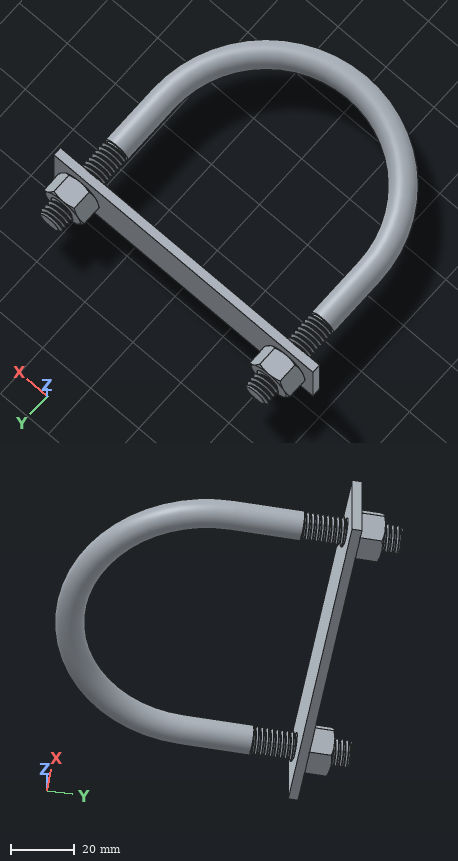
import cadquery as cq
import math

INCH = 25.4

rod_diameter = 3 / 8 * INCH
rod_radius = rod_diameter / 2
inside_bend_diameter = 3 * INCH
leg_spacing = inside_bend_diameter + rod_diameter
bend_radius = leg_spacing / 2
overall_length = 4 * INCH
leg_length = overall_length - bend_radius - rod_radius

thread_length = 1.25 * INCH
pitch = INCH / 16
thread_depth = 0.6134 * pitch
crest_width = pitch / 8
flank_angle = 30
root_overlap = 0.05
envelope_clearance = 0.05
minor_radius = rod_radius - thread_depth
tip_chamfer_length = 0.9
shank_length = leg_length - thread_length

nut_width = 14.6
nut_corner_diameter = nut_width / math.cos(math.pi / 6)
nut_height = 21 / 64 * INCH
nut_chamfer_angle = 30

plate_length = 4.25 * INCH
plate_width = 1 * INCH
plate_thickness = 1 / 8 * INCH

thread_projection = 1 / 4 * INCH
nut_front_y = leg_length - thread_projection - nut_height
plate_front_y = nut_front_y - plate_thickness


def thread_ridge():
    """Helical ridge about Z, run one pitch past the tip so that it can be trimmed there."""
    root_radius = minor_radius - root_overlap
    half_crest = crest_width / 2
    flank_slope = math.tan(math.radians(flank_angle))
    half_root = half_crest + (rod_radius - root_radius) * flank_slope
    helix = cq.Wire.makeHelix(pitch, thread_length + pitch, minor_radius)
    profile_points = [
        (root_radius, -half_root),
        (rod_radius, -half_crest),
        (rod_radius, half_crest),
        (root_radius, half_root),
    ]
    profile = cq.Workplane("XZ").polyline(profile_points).close()
    return profile.sweep(cq.Workplane(helix), isFrenet=True)


def thread_envelope():
    """Solid of revolution about Z that trims the ridge flush at Z = 0 and bevels it at the tip."""
    outer_radius = rod_radius + envelope_clearance
    half_section = [
        (0, 0),
        (outer_radius, 0),
        (outer_radius, thread_length - tip_chamfer_length),
        (minor_radius, thread_length),
        (0, thread_length),
    ]
    return cq.Workplane("XZ").polyline(half_section).close().revolve(360, (0, 0), (0, 1))


def threaded_end():
    """Threaded end about Z, starting at Z = 0, with a bevelled tip."""
    core = cq.Workplane("XY").circle(minor_radius).extrude(thread_length)
    return core.union(thread_ridge().intersect(thread_envelope()))


def along_leg(body, side, start_y):
    """Turn a body built along Z so it runs along +Y on one leg."""
    return body.rotate((0, 0, 0), (1, 0, 0), -90).translate((side * bend_radius, start_y, 0))


def hex_nut():
    """Solid nut body about Z with the corners bevelled at both ends."""
    corner_radius = nut_corner_diameter / 2
    bevel_width = corner_radius - nut_width / 2
    bevel_height = bevel_width * math.tan(math.radians(nut_chamfer_angle))
    hexagon = cq.Workplane("XY").polygon(6, nut_corner_diameter).extrude(nut_height)
    bevelled_round = cq.Workplane("XY").circle(corner_radius).extrude(nut_height)
    bevelled_round = bevelled_round.faces("<Z or >Z").chamfer(bevel_height, bevel_width)
    return hexagon.intersect(bevelled_round)


def half_bend():
    """Half-torus bend centred on the origin, on the -Y side."""
    section = cq.Workplane("XZ", origin=(-bend_radius, 0, 0)).circle(rod_radius)
    return section.revolve(180, (bend_radius, 0), (bend_radius, 1))


def cross_plate():
    """Flat plate that spans both legs."""
    centre_y = plate_front_y + plate_thickness / 2
    return cq.Workplane("XY").box(plate_length, plate_thickness, plate_width).translate((0, centre_y, 0))


shank = cq.Workplane("XY").circle(rod_radius).extrude(shank_length)
thread = threaded_end()
nut = hex_nut()

result = half_bend().union(cross_plate())
for leg_side in (-1, 1):
    result = result.union(along_leg(shank, leg_side, 0))
    result = result.union(along_leg(nut, leg_side, nut_front_y))
    result = result.union(along_leg(thread, leg_side, shank_length))